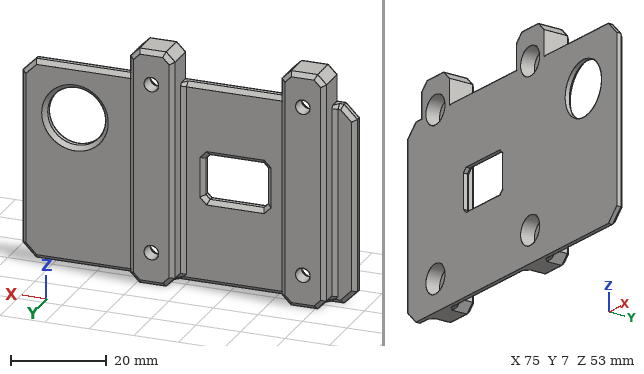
import cadquery as cq
import math

plate_width = 75.0
plate_height = 45.0
plate_thickness = 2.0
plate_corner = 3.0
bevel = 1.0

rail_width = 10.0
rail_height = 53.0
rail_depth = 7.0
rail_corner = 2.0
rail_centers = (10.0, 43.95)

screw_diameter = 3.2
counterbore_diameter = 6.8
counterbore_depth = 3.5
lower_screw_z = 7.5
screw_spacing = 38.0
screw_heights = (lower_screw_z, lower_screw_z + screw_spacing)

window_width = 14.0
window_height = 10.1
window_corner = 1.0
window_center = (27.0, 24.0)
round_diameter = 13.0
round_center = (63.0, 33.2)

trim_size = 2 * plate_width


def block(width, height, depth, corner, x_center, z_center):
    """Block with four cut corners, reaching from Y = 0 to Y = depth."""
    body = cq.Workplane("XY").box(width, depth, height)
    body = body.edges("|Y").chamfer(corner)
    return body.translate((x_center, depth / 2, z_center))


def cylinder(diameter, depth, x_center, z_center):
    """Cylinder along Y, reaching from Y = 0 to Y = depth."""
    profile = cq.Workplane("XZ", origin=(x_center, 0, z_center)).circle(diameter / 2)
    return profile.extrude(-depth)


def make_plate():
    plate = block(plate_width, plate_height, plate_thickness, plate_corner, plate_width / 2, plate_height / 2)
    window = block(window_width, window_height, plate_thickness, window_corner, *window_center)
    plate = plate.cut(window)
    plate = plate.cut(cylinder(round_diameter, plate_thickness, *round_center))
    return plate.faces(">Y").edges().chamfer(bevel)


def make_rail(x_center):
    rail = block(rail_width, rail_height, rail_depth, rail_corner, x_center, rail_height / 2)
    return rail.faces(">Y").edges().chamfer(bevel)


def trim(body, point, outward):
    """Remove everything on the outward side of a plane."""
    plane = cq.Plane(origin=point, normal=outward)
    return body.cut(cq.Workplane(plane).rect(trim_size, trim_size).extrude(trim_size))


def make_skirt(x_center):
    """Bevelled fill along the inner corners between a rail and the plate.

    It follows the rail's sides and lower corners over the flat rear face, then bends
    along the plate's bevelled top and bottom edges.
    """
    skirt_width = rail_width + 2 * bevel
    skirt_top = plate_thickness + bevel
    skirt = cq.Workplane("XY").box(skirt_width, skirt_top, plate_height)
    skirt = skirt.translate((x_center, skirt_top / 2, plate_height / 2))
    for side in (-1, 1):
        rail_side = x_center + side * rail_width / 2
        skirt = trim(skirt, (rail_side, skirt_top, plate_height / 2), (side, 1, 0))
        skirt = trim(skirt, (rail_side, skirt_top, rail_corner), (side, math.sqrt(2), -1))
        top_point = (rail_side + side * bevel, plate_thickness, plate_height - bevel)
        skirt = trim(skirt, top_point, (side * math.sqrt(2), 1, 1))
        step = bevel / math.sqrt(6)
        joint_x = rail_side - side * (rail_corner - bevel)
        bottom_point = (joint_x + side * 2 * step, plate_thickness - step, bevel - step)
        skirt = trim(skirt, bottom_point, (side, 1, -2))
    return skirt


def cut_screw_holes(body, x_center):
    for z_center in screw_heights:
        body = body.cut(cylinder(screw_diameter, rail_depth, x_center, z_center))
        body = body.cut(cylinder(counterbore_diameter, counterbore_depth, x_center, z_center))
    return body


result = make_plate()
for rail_center in rail_centers:
    result = result.union(make_rail(rail_center))
    result = result.union(make_skirt(rail_center))
    result = cut_screw_holes(result, rail_center)